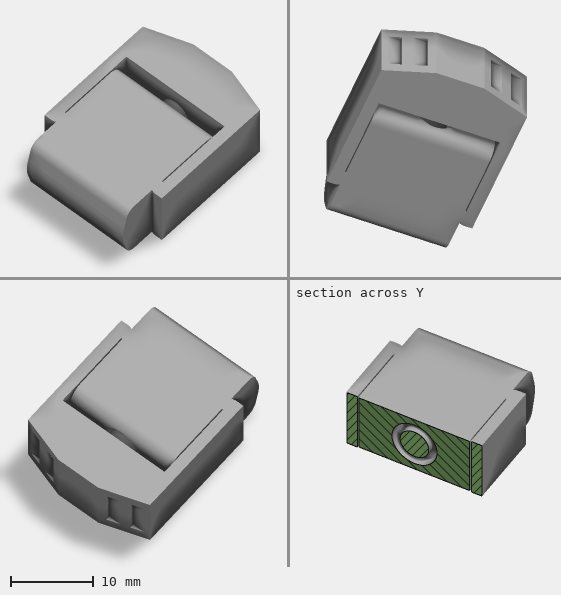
import cadquery as cq
import math

LENGTH = 25.13
THICKNESS = 8.4
HALF_THICKNESS = THICKNESS / 2
BACK_Y = LENGTH / 2
FRONT_Y = -LENGTH / 2

FRAME_WIDTH = 19.0
BACK_FLAT_WIDTH = 6.23
BACK_SLOPE_DROP = 2.05
BACK_WALL = 6.79
CAVITY_WIDTH = 15.88
LIP_START = 18.02
ARM_END = 19.98
LIP_ROUND_WIDTH = 0.7
LIP_ROUND_DROP = 0.18

NOTCH_COUNT = 2
NOTCH_FIRST = 0.33
NOTCH_PITCH = 0.95
NOTCH_DEPTH = 0.53
NOTCH_HEIGHT = 5.55

BLOCK_WIDTH = 15.53
BLOCK_START = 8.12
BLOCK_BACK_ROUND = 1.88
NOSE_RADIUS = 5.35
NOSE_ANGLE = math.radians(15.5)
NOSE_CORNER_RADIUS = 1.53
RECESS_RADIUS = 3.12
RECESS_DEPTH = 2.51

PIN_RADIUS = 2.04
PIN_LENGTH = BLOCK_START + RECESS_DEPTH - BACK_WALL


def make_frame():
    """U-shaped frame with a central pin and inward lips that touch the block."""
    outer = FRAME_WIDTH / 2
    cavity = CAVITY_WIDTH / 2
    lip = BLOCK_WIDTH / 2
    tip_y = BACK_Y - ARM_END
    round_start = lip + LIP_ROUND_WIDTH
    round_radius = (LIP_ROUND_WIDTH**2 + LIP_ROUND_DROP**2) / (2 * LIP_ROUND_DROP)
    half_angle = math.asin(LIP_ROUND_WIDTH / round_radius) / 2
    round_mid = (
        round_start - round_radius * math.sin(half_angle),
        tip_y + round_radius * (1 - math.cos(half_angle)),
    )
    half = (
        cq.Workplane("XY", origin=(0, 0, -HALF_THICKNESS))
        .moveTo(0, BACK_Y)
        .lineTo(BACK_FLAT_WIDTH / 2, BACK_Y)
        .lineTo(outer, BACK_Y - BACK_SLOPE_DROP)
        .lineTo(outer, tip_y)
        .lineTo(round_start, tip_y)
        .threePointArc(round_mid, (lip, tip_y + LIP_ROUND_DROP))
        .lineTo(lip, BACK_Y - LIP_START)
        .lineTo(cavity, BACK_Y - LIP_START)
        .lineTo(cavity, BACK_Y - BACK_WALL)
        .lineTo(0, BACK_Y - BACK_WALL)
        .close()
        .extrude(THICKNESS)
    )
    for index in range(NOTCH_COUNT):
        half = half.cut(make_notch(NOTCH_FIRST + index * NOTCH_PITCH))
    return half.union(half.mirror("YZ")).union(make_pin())


def make_pin():
    """Round pin standing forward from the inner back wall of the frame."""
    return (
        cq.Workplane("XZ", origin=(0, BACK_Y - BACK_WALL, 0))
        .circle(PIN_RADIUS)
        .extrude(PIN_LENGTH)
    )


def make_notch(top_drop):
    """Triangular step in the right-hand back slope, starting top_drop below the back."""
    bottom_drop = top_drop + NOTCH_DEPTH
    wall_x = slope_x(top_drop)
    lip_x = slope_x(bottom_drop)
    return (
        cq.Workplane("XY", origin=(0, 0, -NOTCH_HEIGHT / 2))
        .moveTo(wall_x, BACK_Y - top_drop)
        .lineTo(wall_x, BACK_Y - bottom_drop)
        .lineTo(lip_x, BACK_Y - bottom_drop)
        .lineTo(lip_x, BACK_Y - top_drop)
        .close()
        .extrude(NOTCH_HEIGHT)
    )


def slope_x(drop):
    """X of the right-hand back slope at a given distance below the back."""
    slope_run = (FRAME_WIDTH - BACK_FLAT_WIDTH) / 2
    return BACK_FLAT_WIDTH / 2 + slope_run * drop / BACK_SLOPE_DROP


def make_block():
    """Block with a rounded back, a bowed nose and a round recess for the pin."""
    block_back = BACK_Y - BLOCK_START
    nose_edge = (
        FRONT_Y + NOSE_RADIUS * (1 - math.cos(NOSE_ANGLE)),
        NOSE_RADIUS * math.sin(NOSE_ANGLE),
    )
    nose_corner = (
        nose_edge[0] + (HALF_THICKNESS - nose_edge[1]) * math.tan(NOSE_ANGLE),
        HALF_THICKNESS,
    )
    block = (
        cq.Workplane("YZ", origin=(-BLOCK_WIDTH / 2, 0, 0))
        .moveTo(nose_edge[0], -nose_edge[1])
        .threePointArc((FRONT_Y, 0), nose_edge)
        .lineTo(*nose_corner)
        .lineTo(block_back - BLOCK_BACK_ROUND, HALF_THICKNESS)
        .radiusArc((block_back, HALF_THICKNESS - BLOCK_BACK_ROUND), BLOCK_BACK_ROUND)
        .lineTo(block_back, BLOCK_BACK_ROUND - HALF_THICKNESS)
        .radiusArc((block_back - BLOCK_BACK_ROUND, -HALF_THICKNESS), BLOCK_BACK_ROUND)
        .lineTo(nose_corner[0], -nose_corner[1])
        .close()
        .extrude(BLOCK_WIDTH)
    )
    search_margin = 0.03
    corner_edges = cq.selectors.BoxSelector(
        (-BLOCK_WIDTH, nose_corner[0] - search_margin, -THICKNESS),
        (BLOCK_WIDTH, nose_corner[0] + search_margin, THICKNESS),
    )
    block = block.edges("|X").edges(corner_edges).fillet(NOSE_CORNER_RADIUS)
    recess = (
        cq.Workplane("XZ", origin=(0, block_back, 0))
        .circle(RECESS_RADIUS)
        .extrude(RECESS_DEPTH)
    )
    return block.cut(recess)


frame = make_frame()
block = make_block()

result = cq.Compound.makeCompound([frame.val(), block.val()])